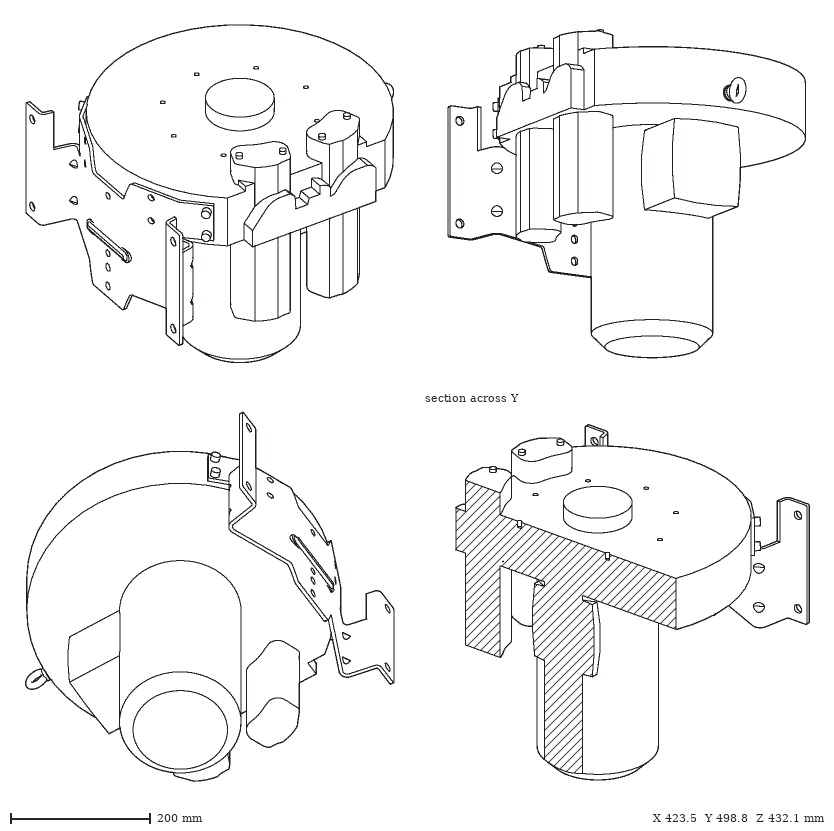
import cadquery as cq
import math


HOUSING_RADIUS = 221.0
HOUSING_DEPTH = 83.5
HOUSING_FLAT_X = 174.6
HUB_RADIUS = 49.5
HUB_HEIGHT = 24.0
COVER_HOLE_COUNT = 8
COVER_HOLE_CIRCLE_RADIUS = 113.5
COVER_HOLE_DIAMETER = 6.8
COVER_HOLE_DEPTH = 10.0

MOTOR_RADIUS = 87.5
MOTOR_BOTTOM_Z = -391.58
MOTOR_CHAMFER = 19.5
BOX_BACK_Y = 155.3
BOX_CENTRE_Z = -150.8
BOX_HALF_WIDTH = 53.0
BOX_HALF_HEIGHT = 58.7
BOX_SIDE_BULGE = 4.0
BOX_TOP_BULGE = 3.2

SILENCER_TOP_Z = 35.5
SILENCER_BOTTOM_Z = -232.5
SILENCER_BOLT_DIAMETER = 10.0
SILENCER_BOLT_HEIGHT = 5.0
SILENCER_BOLT_PLACES = [(140.3, 92.5), (164.8, 33.8)]
LEDGE_START_X = 150.0
LEDGE_INNER_Y = 35.0
LEDGE_OUTER_Y = 104.0
LEDGE_HEIGHT = 8.3

PORT_END_X = 196.8
PORT_TOP_Z = -15.0

SHEET = 5.5
SHEET_GAP = 0.1
SHEET_DISTANCE = HOUSING_RADIUS + SHEET_GAP
WING_ANGLE = 22.8
TAB_ANGLE = 46.2
LEG_LEAN = 11.1
FOOT_FACE_Y = -235.58
FOOT_END_X = 202.45
FOOT_BEND_X = 167.2
WING_TOP_Z = -11.6
WING_BOTTOM_Z = -205.0
CENTRE_DROP = 34.3
CENTRE_CORNER_X = 40.0
WING_CORNER_X = 53.5
OUTLINE_RADIUS = 5.0
FOOT_CORNER_RADIUS = 3.0
CENTRE_BEND_RADIUS = 34.5
LEG_BEND_RADIUS = 6.5
FOOT_BEND_RADIUS = 3.0
TAB_BEND_RADIUS = 10.0
NOTCH_Z = -76.8
NOTCH_START_X = 125.0
NOTCH_END_Y = -216.0
TAB_BOTTOM_Z = -72.5
TAB_ROOT_X = 115.0
TAB_END_REACH = 4.0

FASTENER_Z = [-22.5, -62.5]
TAB_BOLT_INSET = 9.5
TAB_BOLT_DIAMETER = 13.0
TAB_BOLT_HEIGHT = 8.8
WING_HOLE_X = 87.0
WING_HOLE_DIAMETER = 9.5
CENTRE_HOLE_DIAMETER = 10.0
CENTRE_HOLE_Z = [-62.5, -162.5]
CENTRE_SLOT_LENGTH = 12.0
CENTRE_SLOT_Z = [-187.0, -219.5]
FOOT_HOLE_X = 185.7
FOOT_HOLE_INSET = 20.8
FOOT_HOLE_DIAMETER = 13.0

BEAD_Z = -141.2
BEAD_HALF_LENGTH = 55.4
BEAD_HALF_WIDTH = 10.5
BEAD_FLANK_HALF_WIDTH = 7.0
BEAD_CREST_HALF_WIDTH = 3.1
BEAD_FLANK_HEIGHT = 0.8
BEAD_HEIGHT = 4.8
BEAD_ROOT = 4.5

DIMPLE_Z = [-108.6, -172.0]
DIMPLE_HALF_LENGTH = 8.0
DENT_APEX = 11.0
DENT_HALF_HEIGHT = 22.0
RIB_BASE = 11.0
RIB_APEX = 17.0
RIB_HALF_HEIGHT = 9.0

EYE_Z = -62.5
EYE_CENTRE_Y = 244.6
EYE_RING_RADIUS = 13.4
EYE_WIRE_RADIUS = 5.2
EYE_COLLAR_RADIUS = 10.0
EYE_COLLAR_END_Y = 230.5
EYE_RIM_Y = 224.0
EYE_RIM_RADIUS = 11.7
EYE_RIM_THICKNESS = 0.8
EYE_NECK_RADIUS = 4.0

OVERLAP = 5.0


def with_mirror(body, plane):
    return body.union(body.mirror(plane))


def prism(points, z_low, z_high):
    return cq.Workplane("XY").workplane(offset=z_low).polyline(points).close().extrude(z_high - z_low)


def y_axis_profile(y_start):
    """XZ work plane at y_start whose extrusions run toward -Y."""
    return cq.Workplane("XZ", origin=(0, y_start, 0))


def make_housing():
    flat_half_length = math.sqrt(HOUSING_RADIUS**2 - HOUSING_FLAT_X**2)
    disc = (
        cq.Workplane("XY")
        .moveTo(HOUSING_FLAT_X, flat_half_length)
        .threePointArc((-HOUSING_RADIUS, 0), (HOUSING_FLAT_X, -flat_half_length))
        .close()
        .extrude(-HOUSING_DEPTH)
    )
    cover_holes = (
        cq.Workplane("XY")
        .polarArray(COVER_HOLE_CIRCLE_RADIUS, 0, 360, COVER_HOLE_COUNT)
        .circle(COVER_HOLE_DIAMETER / 2)
        .extrude(-COVER_HOLE_DEPTH)
    )
    hub = cq.Workplane("XY").circle(HUB_RADIUS).extrude(HUB_HEIGHT)
    return disc.cut(cover_holes).union(hub)


def make_motor():
    length = -HOUSING_DEPTH - MOTOR_BOTTOM_Z
    motor = cq.Workplane("XY").workplane(offset=MOTOR_BOTTOM_Z).circle(MOTOR_RADIUS).extrude(length)
    return motor.faces("<Z").chamfer(MOTOR_CHAMFER)


def make_terminal_box():
    """Box behind the motor whose four long faces bulge slightly."""
    w = BOX_HALF_WIDTH
    h = BOX_HALF_HEIGHT
    return (
        cq.Workplane("XZ", origin=(0, BOX_BACK_Y, BOX_CENTRE_Z))
        .moveTo(-w, -h)
        .threePointArc((-w - BOX_SIDE_BULGE, 0), (-w, h))
        .threePointArc((0, h + BOX_TOP_BULGE), (w, h))
        .threePointArc((w + BOX_SIDE_BULGE, 0), (w, -h))
        .threePointArc((0, -h - BOX_TOP_BULGE), (-w, -h))
        .close()
        .extrude(BOX_BACK_Y)
    )


def make_silencers():
    column = (
        cq.Workplane("XY")
        .workplane(offset=SILENCER_BOTTOM_Z)
        .moveTo(127.7, 98.5)
        .lineTo(147.5, 106.0)
        .threePointArc((152.0, 106.0), (155.6, 104.0))
        .lineTo(174.8, 88.3)
        .threePointArc((182.3, 72.5), (186.4, 56.0))
        .lineTo(184.5, 48.0)
        .lineTo(184.0, 34.0)
        .lineTo(178.0, 29.0)
        .lineTo(157.5, 20.5)
        .threePointArc((141.5, 22.5), (131.8, 36.6))
        .threePointArc((127.6, 52.5), (120.5, 67.2))
        .lineTo(116.0, 77.0)
        .threePointArc((117.3, 89.5), (127.7, 98.5))
        .close()
        .extrude(SILENCER_TOP_Z - SILENCER_BOTTOM_Z)
    )
    bolts = (
        cq.Workplane("XY")
        .workplane(offset=SILENCER_TOP_Z)
        .pushPoints(SILENCER_BOLT_PLACES)
        .circle(SILENCER_BOLT_DIAMETER / 2)
        .extrude(SILENCER_BOLT_HEIGHT)
    )
    ledge = cq.Workplane("XY").box(
        HOUSING_FLAT_X - LEDGE_START_X,
        LEDGE_OUTER_Y - LEDGE_INNER_Y,
        LEDGE_HEIGHT + OVERLAP,
        centered=False,
    )
    ledge = ledge.translate((LEDGE_START_X, LEDGE_INNER_Y, -OVERLAP))
    return with_mirror(column.union(bolts).union(ledge), "XZ")


def make_port_flange():
    """Flange on the housing flat, its stepped and rounded upper edge drawn in Y and Z."""
    top = PORT_TOP_Z
    return (
        cq.Workplane("YZ", origin=(HOUSING_FLAT_X - OVERLAP, 0, 0))
        .moveTo(105.5, -HOUSING_DEPTH)
        .lineTo(105.5, top - 10)
        .threePointArc((99.5, top - 4), (91.0, top))
        .lineTo(70.0, top)
        .threePointArc((57.0, top - 4), (46.5, top - 13))
        .lineTo(38.0, top - 24)
        .threePointArc((33.5, top - 28.5), (27.5, top - 30))
        .lineTo(27.5, top - 14)
        .threePointArc((19.0, top - 8), (9.0, top - 5))
        .lineTo(9.0, top - 20)
        .lineTo(-9.0, top - 20)
        .lineTo(-12.0, top - 30)
        .lineTo(-32.0, top - 30)
        .lineTo(-33.5, top - 8)
        .lineTo(-42.0, top)
        .lineTo(-61.0, top)
        .threePointArc((-74.0, top - 4), (-84.5, top - 13))
        .lineTo(-106.5, top - 40)
        .lineTo(-106.5, -HOUSING_DEPTH)
        .close()
        .extrude(PORT_END_X - HOUSING_FLAT_X + OVERLAP)
    )


def tangent_line(angle, distance):
    """Line at a distance from the axis: normal turned by angle from -Y toward +X."""
    a = math.radians(angle)
    return math.sin(a), -math.cos(a), distance


def crossing(first, second):
    """Point where two lines (normal x, normal y, distance) meet."""
    a1, b1, c1 = first
    a2, b2, c2 = second
    det = a1 * b2 - a2 * b1
    return (c1 * b2 - c2 * b1) / det, (a1 * c2 - a2 * c1) / det


def shifted(line, offset):
    """Parallel line moved along its normal."""
    return line[0], line[1], line[2] + offset


CENTRE_LINE = tangent_line(0, SHEET_DISTANCE)
WING_LINE = tangent_line(WING_ANGLE, SHEET_DISTANCE)
TAB_LINE = tangent_line(TAB_ANGLE, SHEET_DISTANCE)
FOOT_LINE = tangent_line(0, -FOOT_FACE_Y - SHEET)
LEG_LEAN_RAD = math.radians(LEG_LEAN)
LEG_NORMAL = (-math.cos(LEG_LEAN_RAD), -math.sin(LEG_LEAN_RAD))
LEG_LINE = (*LEG_NORMAL, LEG_NORMAL[0] * FOOT_BEND_X + LEG_NORMAL[1] * (FOOT_FACE_Y + SHEET))


def bend_corners(first, second):
    """Corner on the face toward the housing, and the matching corner one sheet away."""
    return crossing(first, second), crossing(shifted(first, SHEET), shifted(second, SHEET))


def round_bend(body, near_corner, far_corner, near_radius, far_radius, z):
    """Round the two vertical corner edges of a bend; z is the mid-height of the sheet."""
    for corner, radius in ((near_corner, near_radius), (far_corner, far_radius)):
        edge = cq.selectors.NearestToPointSelector((corner[0], corner[1], z))
        body = body.edges("|Z").edges(edge).fillet(radius)
    return body


def make_half_sheet():
    """Half of the centre plate, one wing, one leg and one foot, at full height."""
    centre_near, centre_far = bend_corners(CENTRE_LINE, WING_LINE)
    leg_near, leg_far = bend_corners(WING_LINE, LEG_LINE)
    foot_near, foot_far = bend_corners(LEG_LINE, FOOT_LINE)
    z_low = WING_BOTTOM_Z - CENTRE_DROP
    z_mid = (z_low + WING_TOP_Z) / 2
    points = [
        (0, -SHEET_DISTANCE),
        centre_near,
        leg_near,
        foot_near,
        (FOOT_END_X, FOOT_FACE_Y + SHEET),
        (FOOT_END_X, FOOT_FACE_Y),
        foot_far,
        leg_far,
        centre_far,
        (0, -SHEET_DISTANCE - SHEET),
    ]
    sheet = prism(points, z_low, WING_TOP_Z)
    outer_radius = CENTRE_BEND_RADIUS + SHEET
    sheet = round_bend(sheet, centre_near, centre_far, CENTRE_BEND_RADIUS, outer_radius, z_mid)
    sheet = round_bend(sheet, leg_near, leg_far, LEG_BEND_RADIUS + SHEET, LEG_BEND_RADIUS, z_mid)
    sheet = round_bend(sheet, foot_near, foot_far, FOOT_BEND_RADIUS, FOOT_BEND_RADIUS + SHEET, z_mid)
    return sheet


def front_outline():
    """Sheet outline in X and Z: the centre plate sits lower than the wings."""
    half = [
        (CENTRE_CORNER_X, WING_TOP_Z - CENTRE_DROP),
        (WING_CORNER_X, WING_TOP_Z),
        (FOOT_END_X, WING_TOP_Z),
        (FOOT_END_X, WING_BOTTOM_Z),
        (WING_CORNER_X, WING_BOTTOM_Z),
        (CENTRE_CORNER_X, WING_BOTTOM_Z - CENTRE_DROP),
    ]
    other_half = [(-x, z) for x, z in reversed(half)]
    outline = y_axis_profile(0).polyline(half + other_half).close().extrude(2 * SHEET_DISTANCE)
    reach = WING_CORNER_X + 1
    near_centre = cq.selectors.BoxSelector(
        (-reach, -2 * HOUSING_RADIUS, MOTOR_BOTTOM_Z), (reach, 0, SILENCER_TOP_Z)
    )
    outline = outline.edges("|Y").edges(near_centre).fillet(OUTLINE_RADIUS)
    return outline.edges("|Y").edges("<X or >X").fillet(FOOT_CORNER_RADIUS)


def make_tab():
    """Upright tab bent off the wing and laid against the housing, with its two bolts."""
    a = math.radians(TAB_ANGLE)
    normal = (math.sin(a), -math.cos(a))
    along = (math.cos(a), math.sin(a))
    near, far = bend_corners(WING_LINE, TAB_LINE)

    def tab_point(distance, reach):
        return tuple(normal[i] * distance + along[i] * reach for i in range(2))

    root = (1, 0, TAB_ROOT_X)
    points = [
        crossing(WING_LINE, root),
        near,
        tab_point(SHEET_DISTANCE, TAB_END_REACH),
        tab_point(SHEET_DISTANCE + SHEET, TAB_END_REACH),
        far,
        crossing(shifted(WING_LINE, SHEET), root),
    ]
    tab = prism(points, TAB_BOTTOM_Z, WING_TOP_Z)
    z_mid = (TAB_BOTTOM_Z + WING_TOP_Z) / 2
    tab = round_bend(tab, near, far, TAB_BEND_RADIUS, TAB_BEND_RADIUS + SHEET, z_mid)
    bolt_start = HOUSING_RADIUS - OVERLAP
    bolt_length = SHEET_DISTANCE + SHEET + TAB_BOLT_HEIGHT - bolt_start
    x, y = tab_point(bolt_start, TAB_END_REACH - TAB_BOLT_INSET)
    for z in FASTENER_Z:
        bolt_plane = cq.Plane(origin=(x, y, z), xDir=(0, 0, 1), normal=(*normal, 0))
        bolt = cq.Workplane(bolt_plane).circle(TAB_BOLT_DIAMETER / 2).extrude(bolt_length)
        tab = tab.union(bolt)
    return tab


def dimple_wedge(z, base, apex, half_height):
    """Wedge across the leg bend, pointing into the bend from depth base to depth apex."""
    corner, _ = bend_corners(WING_LINE, LEG_LINE)
    leg_direction = 270 + LEG_LEAN
    wing_direction = 180 + WING_ANGLE
    inward = math.radians((leg_direction + wing_direction) / 2)
    depth_axis = (math.cos(inward), math.sin(inward), 0)
    across_axis = (math.sin(inward), -math.cos(inward), 0)
    plane = cq.Plane(origin=(*corner, z), xDir=depth_axis, normal=across_axis)
    return (
        cq.Workplane(plane)
        .polyline([(base, -half_height), (base, half_height), (apex, 0)])
        .close()
        .extrude(DIMPLE_HALF_LENGTH, both=True)
    )


def make_bracket():
    sheet = make_half_sheet()
    notch = cq.Workplane("XY").box(
        FOOT_END_X - NOTCH_START_X, -NOTCH_END_Y, WING_TOP_Z - NOTCH_Z, centered=False
    )
    sheet = sheet.cut(notch.translate((NOTCH_START_X, NOTCH_END_Y, NOTCH_Z)))
    for z in DIMPLE_Z:
        sheet = sheet.union(dimple_wedge(z, RIB_BASE, RIB_APEX, RIB_HALF_HEIGHT))
        sheet = sheet.cut(dimple_wedge(z, 0, DENT_APEX, DENT_HALF_HEIGHT))
    sheet = with_mirror(sheet, "YZ").intersect(front_outline())
    return sheet.union(with_mirror(make_tab(), "YZ"))


def make_bracket_holes():
    """Cutters along Y for every hole in the feet, the wings and the centre plate."""
    depth = 2 * SHEET_DISTANCE
    foot_hole_z = [WING_TOP_Z - FOOT_HOLE_INSET, WING_BOTTOM_Z + FOOT_HOLE_INSET]
    foot_places = [(side * FOOT_HOLE_X, z) for side in (-1, 1) for z in foot_hole_z]
    wing_places = [(side * WING_HOLE_X, z) for side in (-1, 1) for z in FASTENER_Z]
    centre_places = [(0, z) for z in CENTRE_HOLE_Z]
    slot_places = [(0, z) for z in CENTRE_SLOT_Z]
    feet = y_axis_profile(NOTCH_END_Y).pushPoints(foot_places).circle(FOOT_HOLE_DIAMETER / 2).extrude(depth)
    wings = y_axis_profile(0).pushPoints(wing_places).circle(WING_HOLE_DIAMETER / 2).extrude(depth)
    centre = y_axis_profile(0).pushPoints(centre_places).circle(CENTRE_HOLE_DIAMETER / 2).extrude(depth)
    slots = (
        y_axis_profile(NOTCH_END_Y)
        .pushPoints(slot_places)
        .slot2D(CENTRE_SLOT_LENGTH, CENTRE_HOLE_DIAMETER, 90)
        .extrude(depth)
    )
    return feet.union(wings).union(centre).union(slots)


def bead_section(plane):
    """Half of the bead section: flared foot, sloping flank and flat crest."""
    return (
        plane.moveTo(0, -BEAD_ROOT)
        .lineTo(BEAD_HALF_WIDTH, -BEAD_ROOT)
        .lineTo(BEAD_HALF_WIDTH, 0)
        .lineTo(BEAD_FLANK_HALF_WIDTH, BEAD_FLANK_HEIGHT)
        .lineTo(BEAD_CREST_HALF_WIDTH, BEAD_HEIGHT)
        .lineTo(0, BEAD_HEIGHT)
        .close()
    )


def make_bead():
    end_centre_x = BEAD_HALF_LENGTH - BEAD_HALF_WIDTH
    face_y = -SHEET_DISTANCE - SHEET
    section_plane = cq.Plane(origin=(end_centre_x, face_y, BEAD_Z), xDir=(0, 0, -1), normal=(-1, 0, 0))
    end = bead_section(cq.Workplane(section_plane)).revolve(360, (0, 0), (0, 1))
    run = bead_section(cq.Workplane(section_plane)).extrude(2 * end_centre_x)
    run = run.union(run.mirror("XY", (0, 0, BEAD_Z)))
    return run.union(with_mirror(end, "YZ"))


def rod_along_y(radius, y_from, y_to):
    return y_axis_profile(y_to).center(0, EYE_Z).circle(radius).extrude(y_to - y_from)


def make_lifting_eye():
    ring = cq.Workplane(
        cq.Solid.makeTorus(
            EYE_RING_RADIUS, EYE_WIRE_RADIUS, cq.Vector(0, EYE_CENTRE_Y, EYE_Z), cq.Vector(1, 0, 0)
        )
    )
    neck = rod_along_y(EYE_NECK_RADIUS, HOUSING_RADIUS - OVERLAP, EYE_RIM_Y)
    rim = rod_along_y(EYE_RIM_RADIUS, EYE_RIM_Y, EYE_RIM_Y + EYE_RIM_THICKNESS)
    collar = rod_along_y(EYE_COLLAR_RADIUS, EYE_RIM_Y, EYE_COLLAR_END_Y)
    eye_opening = cq.Workplane("YZ").center(EYE_CENTRE_Y, EYE_Z).circle(EYE_RING_RADIUS)
    collar = collar.cut(eye_opening.extrude(EYE_COLLAR_RADIUS, both=True))
    return neck.union(rim).union(collar).union(ring)


bracket = make_bracket().cut(make_bracket_holes()).union(make_bead())
result = (
    make_housing()
    .union(make_motor())
    .union(make_terminal_box())
    .union(make_silencers())
    .union(make_port_flange())
    .union(bracket)
    .union(make_lifting_eye())
)